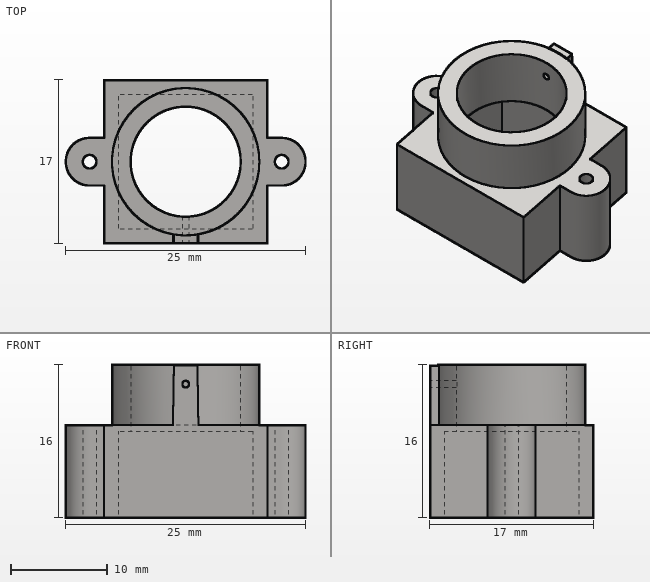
import cadquery as cq

base_side = 17.0
base_height = 9.65
pocket_side = 14.0
pocket_depth = 9.0

total_height = 15.95
barrel_diameter = 15.35
bore_diameter = 11.45

overall_length = 25.0
ear_radius = 2.5
ear_hole_diameter = 1.4
ear_center = overall_length / 2 - ear_radius

rib_bottom_width = 2.65
rib_top_width = 2.45
rib_top = total_height - 0.1
screw_hole_diameter = 0.7
screw_hole_height = 13.92


def make_ears():
    """Both rounded ears, joined by a bar that runs through the base."""
    return (
        cq.Workplane("XY")
        .slot2D(overall_length, 2 * ear_radius)
        .extrude(base_height)
    )


def make_rib():
    """Rib from the front face of the base inward into the barrel wall."""
    wall_middle = (barrel_diameter + bore_diameter) / 4
    return (
        cq.Workplane("XZ", origin=(0, -wall_middle, 0))
        .moveTo(-rib_bottom_width / 2, base_height)
        .lineTo(rib_bottom_width / 2, base_height)
        .lineTo(rib_top_width / 2, rib_top)
        .lineTo(-rib_top_width / 2, rib_top)
        .close()
        .extrude(base_side / 2 - wall_middle)
    )


def cylinder(diameter, bottom, top):
    """Vertical cylinder on the lens axis."""
    return (
        cq.Workplane("XY", origin=(0, 0, bottom))
        .circle(diameter / 2)
        .extrude(top - bottom)
    )


base = cq.Workplane("XY").box(base_side, base_side, base_height, centered=(True, True, False))
barrel = cylinder(barrel_diameter, base_height, total_height)
pocket = cq.Workplane("XY").box(pocket_side, pocket_side, pocket_depth, centered=(True, True, False))
bore = cylinder(bore_diameter, 0, total_height)
ear_holes = (
    cq.Workplane("XY")
    .pushPoints([(-ear_center, 0), (ear_center, 0)])
    .circle(ear_hole_diameter / 2)
    .extrude(base_height)
)
screw_hole = (
    cq.Workplane("XZ", origin=(0, 0, screw_hole_height))
    .circle(screw_hole_diameter / 2)
    .extrude(base_side / 2)
)

result = base.union(make_ears()).union(barrel).union(make_rib())
for cutter in (pocket, bore, ear_holes, screw_hole):
    result = result.cut(cutter)